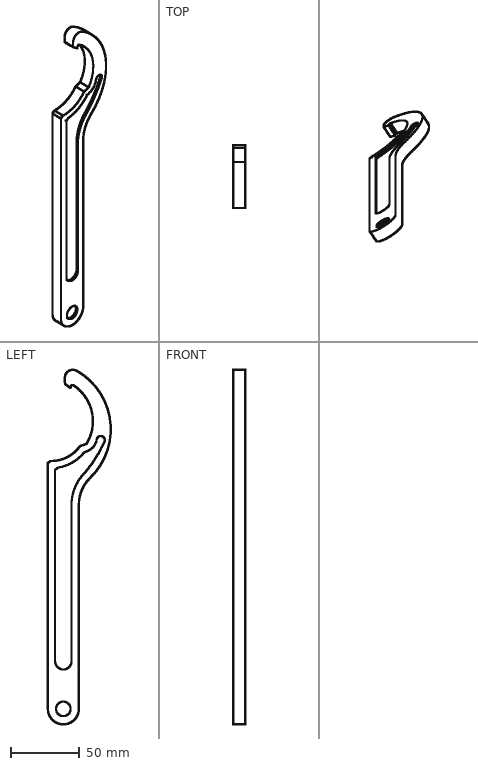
import cadquery as cq
import math

thickness = 9.0
handle_width = 23.0
handle_radius = handle_width / 2
length = 260.0
top = length - handle_radius

back_reach = 34.8
back_radius = 49.5
back_center = (back_reach - back_radius, 205.0)
neck_start_up = 149.8

tip_radius = 6.0
tooth_corner = (1.0, 238.2)
tooth_point = (5.2, 235.0)
tooth_root = (5.7, 236.9)

mouth_start = (7.0, 237.5)
mouth_middle = (21.5, 209.8)
mouth_end = (17.0, 194.2)
shoulder_start = (12.2, 192.7)
shoulder_middle = (5.2, 186.0)
shoulder_end = (-9.4, 181.7)
shoulder_corner_up = 180.2

recess_depth = 1.5
rim_width = 5.5
recess_half_width = handle_radius - rim_width
recess_bottom = 28.9
recess_back_middle = (21.3, 180.2)
recess_tip_right = (30.0, 195.3)
recess_tip_top = (27.3, 200.0)
recess_tip_left = (24.5, 196.3)
recess_mouth_middle = (22.0, 192.0)
recess_mouth_end = (19.0, 189.5)
recess_shoulder_start = (15.3, 188.0)
recess_shoulder_middle = (8.5, 181.7)
recess_shoulder_end = (-4.0, 176.8)
recess_corner_up = 175.2
mark_diameter = 10.7

side_plane = cq.Plane(origin=(-thickness / 2, 0, 0), xDir=(0, -1, 0), normal=(-1, 0, 0))


def point_toward(start, end, distance):
    """Point at a given distance from start, on the ray through end."""
    span = math.dist(start, end)
    return tuple(s + (e - s) * distance / span for s, e in zip(start, end))


def arc_middle(center, start, end, radius):
    """Middle of the minor arc between two points on a circle."""
    chord_middle = tuple((s + e) / 2 for s, e in zip(start, end))
    return point_toward(center, chord_middle, radius)


offset_across = handle_radius - back_center[0]
offset_up = back_center[1] - neck_start_up
neck_radius = (offset_across**2 + offset_up**2 - back_radius**2) / (2 * (back_radius - offset_across))
neck_center = (handle_radius + neck_radius, neck_start_up)


def neck_arc(radius):
    """Start, middle and end of an arc concentric with the neck."""
    start = (neck_center[0] - radius, neck_start_up)
    end = point_toward(neck_center, back_center, radius)
    return start, arc_middle(neck_center, start, end, radius), end


def plate():
    neck_start, neck_middle, neck_end = neck_arc(neck_radius)
    tip_up = top - tip_radius
    tip_across = back_center[0] + math.sqrt(
        (back_radius - tip_radius) ** 2 - (tip_up - back_center[1]) ** 2
    )
    tip_center = (tip_across, tip_up)
    back_end = point_toward(back_center, tip_center, back_radius)
    back_middle = arc_middle(back_center, neck_end, back_end, back_radius)
    return (
        cq.Workplane(side_plane)
        .moveTo(-handle_radius, 0)
        .threePointArc((0, -handle_radius), (handle_radius, 0))
        .lineTo(*neck_start)
        .threePointArc(neck_middle, neck_end)
        .threePointArc(back_middle, back_end)
        .threePointArc((tip_across, top), (tip_across - tip_radius, tip_up))
        .lineTo(*tooth_corner)
        .lineTo(*tooth_point)
        .lineTo(*tooth_root)
        .lineTo(*mouth_start)
        .threePointArc(mouth_middle, mouth_end)
        .lineTo(*shoulder_start)
        .threePointArc(shoulder_middle, shoulder_end)
        .lineTo(-handle_radius, shoulder_corner_up)
        .close()
        .extrude(-thickness)
    )


def recess():
    neck_start, neck_middle, neck_end = neck_arc(neck_radius + rim_width)
    end_up = recess_bottom + recess_half_width
    return (
        cq.Workplane(side_plane)
        .moveTo(-recess_half_width, end_up)
        .threePointArc((0, recess_bottom), (recess_half_width, end_up))
        .lineTo(*neck_start)
        .threePointArc(neck_middle, neck_end)
        .threePointArc(recess_back_middle, recess_tip_right)
        .threePointArc(recess_tip_top, recess_tip_left)
        .lineTo(*recess_mouth_middle)
        .lineTo(*recess_mouth_end)
        .lineTo(*recess_shoulder_start)
        .threePointArc(recess_shoulder_middle, recess_shoulder_end)
        .lineTo(-recess_half_width, recess_corner_up)
        .close()
        .extrude(-recess_depth)
    )


def round_mark():
    return cq.Workplane(side_plane).circle(mark_diameter / 2).extrude(-recess_depth)


result = plate().cut(recess()).cut(round_mark())